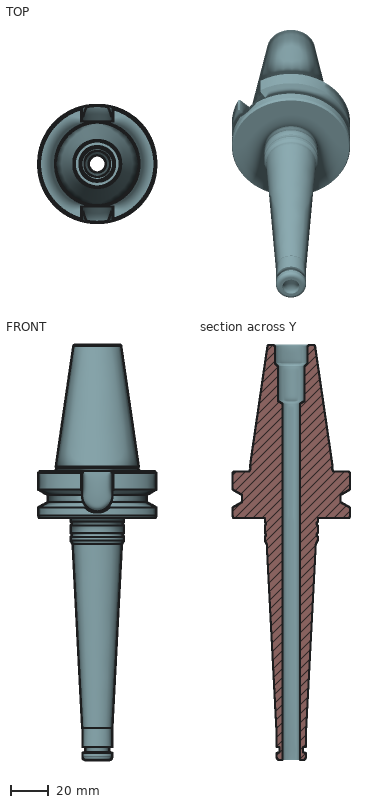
import cadquery as cq
import math

taper_length = 65.4
flange_top = -2.0
flange_bottom = -27.0
tip_bottom = -156.0

gauge_diameter = 44.45
taper_ratio = 7 / 24
shank_top_diameter = gauge_diameter - taper_length * taper_ratio
shank_top_chamfer = 0.7
relief_top = 0.5
relief_mid = -0.7
relief_diameter = 43.6
shoulder_diameter = 45.0

flange_diameter = 63.0
flange_top_chamfer = 1.0
flange_bottom_chamfer = 0.6
groove_center = -16.6
groove_mouth = 9.6
groove_floor_diameter = 53.0
groove_flank_angle = 30.0
rim_upper = groove_center + groove_mouth / 2
rim_lower = groove_center - groove_mouth / 2

slot_width = 16.1
slot_floor_distance = 22.6
slot_bottom = -23.4
slot_chamfer = 0.7
slot_floor_round = 0.4

collar_diameter = 28.5
collar_bottom = -40.9
collar_chamfer_height = 2.0
ring_groove_heights = (-29.95, -35.95)
ring_groove_width = 2.0
ring_groove_depth = 0.6

nose_top_diameter = 26.4
nose_bottom_diameter = 16.2
nose_bottom = -138.8
tip_diameter = 16.0
tip_groove_diameter = 13.0
tip_groove_top = -148.9
tip_groove_bottom = -152.1
tip_groove_flank = 0.5
tip_round = 2.0

mouth_diameter = 19.0
mouth_chamfer = 1.0
pilot_diameter = 17.0
pilot_depth = 10.0
thread_diameter = 13.84
thread_depth = 30.0
drill_point_angle = 118.0
pilot_floor_angle = 90.0
through_diameter = 9.0


def revolve_profile(points):
    """Revolve a closed outline of (radius, height) points about Z."""
    return cq.Workplane("XZ").polyline(points).close().revolve(360, (0, 0), (0, 1))


def make_body():
    flange_radius = flange_diameter / 2
    groove_floor_radius = groove_floor_diameter / 2
    flank_height = (flange_radius - groove_floor_radius) * math.tan(math.radians(groove_flank_angle))
    collar_radius = collar_diameter / 2
    relief_top_radius = (gauge_diameter - relief_top * taper_ratio) / 2
    body = revolve_profile([
        (0, taper_length),
        (shank_top_diameter / 2 - shank_top_chamfer, taper_length),
        (shank_top_diameter / 2 + shank_top_chamfer * taper_ratio / 2, taper_length - shank_top_chamfer),
        (relief_top_radius, relief_top),
        (relief_diameter / 2, relief_mid),
        (shoulder_diameter / 2, flange_top),
        (flange_radius - flange_top_chamfer, flange_top),
        (flange_radius, flange_top - flange_top_chamfer),
        (flange_radius, rim_upper),
        (groove_floor_radius, rim_upper - flank_height),
        (groove_floor_radius, rim_lower + flank_height),
        (flange_radius, rim_lower),
        (flange_radius, flange_bottom + flange_bottom_chamfer),
        (flange_radius - flange_bottom_chamfer, flange_bottom),
        (collar_radius, flange_bottom),
        (collar_radius, collar_bottom + collar_chamfer_height),
        (nose_top_diameter / 2, collar_bottom),
        (nose_bottom_diameter / 2, nose_bottom),
        (tip_diameter / 2, nose_bottom),
        (tip_diameter / 2, tip_groove_top),
        (tip_groove_diameter / 2, tip_groove_top),
        (tip_groove_diameter / 2, tip_groove_bottom + tip_groove_flank),
        (tip_diameter / 2, tip_groove_bottom),
        (tip_diameter / 2, tip_bottom),
        (0, tip_bottom),
    ])
    return body.faces("<Z").edges().fillet(tip_round)


def make_ring_groove(height):
    """Ring of arc section cut into the collar, centred at the given height."""
    radius = collar_diameter / 2
    half_width = ring_groove_width / 2
    section = (
        cq.Workplane("XZ")
        .moveTo(radius, height + half_width)
        .threePointArc((radius - ring_groove_depth, height), (radius, height - half_width))
        .close()
    )
    return section.revolve(360, (0, 0), (0, 1))


def make_bore():
    """Stepped bore: chamfered pilot, thread hole with drill point, through hole."""
    through_radius = through_diameter / 2
    thread_radius = thread_diameter / 2
    point_height = (thread_radius - through_radius) / math.tan(math.radians(drill_point_angle / 2))
    pilot_floor = taper_length - pilot_depth
    lead_in_height = (pilot_diameter - thread_diameter) / 2 / math.tan(math.radians(pilot_floor_angle / 2))
    thread_floor = taper_length - thread_depth
    return revolve_profile([
        (0, taper_length),
        (mouth_diameter / 2, taper_length),
        (pilot_diameter / 2, taper_length - mouth_chamfer),
        (pilot_diameter / 2, pilot_floor),
        (thread_radius, pilot_floor - lead_in_height),
        (thread_radius, thread_floor),
        (through_radius, thread_floor - point_height),
        (through_radius, tip_bottom),
        (0, tip_bottom),
    ])


def make_drive_slot(side):
    """Round-ended slot open to the rim and the flange top; side is +1 or -1 along Y."""
    slot_radius = slot_width / 2
    arc_center = slot_bottom + slot_radius
    outline = (
        cq.Workplane("XZ", origin=(0, side * slot_floor_distance, 0))
        .moveTo(-slot_radius, flange_top)
        .lineTo(-slot_radius, arc_center)
        .threePointArc((0, slot_bottom), (slot_radius, arc_center))
        .lineTo(slot_radius, flange_top)
        .close()
    )
    slot = outline.extrude(-side * flange_diameter / 2)
    floor_face = slot.faces("<Y" if side > 0 else ">Y")
    return floor_face.edges("not >Z").fillet(slot_floor_round)


def make_slot_top_chamfer(side):
    """Wedge that bevels the slot edges on the flange top face."""
    half_width = slot_width / 2
    outline = (
        cq.Workplane("XZ", origin=(0, side * slot_floor_distance, 0))
        .polyline([
            (-half_width - slot_chamfer, flange_top),
            (-half_width, flange_top - slot_chamfer),
            (half_width, flange_top - slot_chamfer),
            (half_width + slot_chamfer, flange_top),
        ])
        .close()
    )
    return outline.extrude(-side * flange_diameter / 2)


def make_slot_rim_chamfer(side):
    """Flared plan outline that bevels the upright slot edges on the upper flange rim."""
    half_width = slot_width / 2
    flared_half_width = half_width + slot_chamfer
    rim_distance = math.sqrt((flange_diameter / 2) ** 2 - flared_half_width ** 2)
    outline = (
        cq.Workplane("XY", origin=(0, 0, groove_center))
        .polyline([
            (-half_width, side * (rim_distance - slot_chamfer)),
            (-flared_half_width, side * rim_distance),
            (-flared_half_width, side * flange_diameter / 2),
            (flared_half_width, side * flange_diameter / 2),
            (flared_half_width, side * rim_distance),
            (half_width, side * (rim_distance - slot_chamfer)),
        ])
        .close()
    )
    return outline.extrude(flange_top - groove_center)


def chamfer_lower_rim(part):
    """Bevel the two arcs where the round slot ends run out through the lower rim."""
    half_width = slot_width / 2
    near_corner = (-half_width, -flange_diameter / 2, flange_bottom + flange_bottom_chamfer)
    far_corner = (half_width, flange_diameter / 2, rim_lower)
    arcs = part.edges(cq.selectors.BoxSelector(near_corner, far_corner))
    return arcs.chamfer(slot_chamfer)


result = make_body().cut(make_bore())
for groove_height in ring_groove_heights:
    result = result.cut(make_ring_groove(groove_height))
for slot_side in (1, -1):
    result = result.cut(make_drive_slot(slot_side))
    result = result.cut(make_slot_top_chamfer(slot_side))
    result = result.cut(make_slot_rim_chamfer(slot_side))
result = chamfer_lower_rim(result)